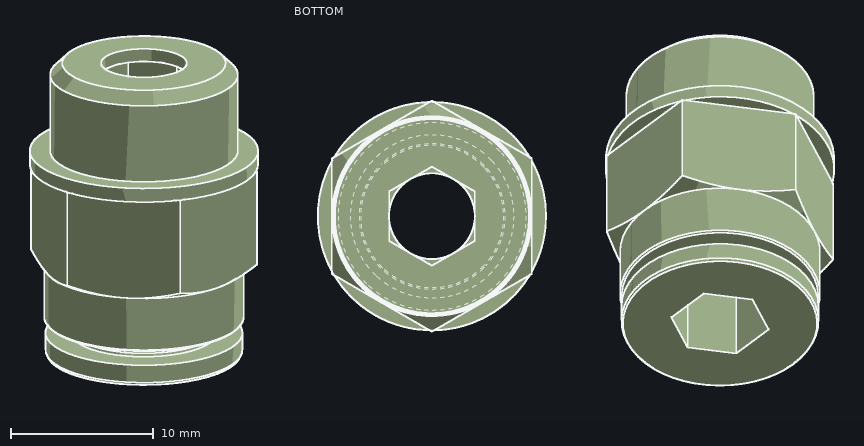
import cadquery as cq
import math

total_height = 21.5
flange_top = 15.0
flange_thickness = 1.0
hex_bottom = 6.5
body_bottom = 2.54
ring_top = 1.5

spigot_diameter = 13.15
flange_diameter = 16.0
hex_across_flats = 14.0
body_diameter = hex_across_flats
neck_diameter = 10.0
neck_foot_diameter = 10.21
ring_diameter = 13.8
bore_diameter = 6.0

spigot_chamfer = 0.85
body_chamfer = 0.13
ring_chamfer_height = 0.22
ring_chamfer_width = 0.1
neck_foot_height = 0.22
hex_chamfer_angle = 30.0
bore_lip_depth = 0.95

flange_bottom = flange_top - flange_thickness
hex_corner_factor = 1 / math.cos(math.radians(30))


def hex_prism(across_flats, bottom, top):
    """Vertical hexagonal prism with corners on +Y and -Y."""
    return (
        cq.Workplane("XY")
        .polygon(6, across_flats * hex_corner_factor)
        .extrude(top - bottom)
        .rotate((0, 0, 0), (0, 0, 1), 90)
        .translate((0, 0, bottom))
    )


def revolve_profile(points):
    """Solid of revolution about Z from (radius, height) points."""
    return (
        cq.Workplane("XZ")
        .polyline(points)
        .close()
        .revolve(360, (0, 0), (0, 1))
    )


def turned_body():
    """Release ring, neck, body, flange and chamfered spigot."""
    ring_radius = ring_diameter / 2
    neck_radius = neck_diameter / 2
    body_radius = body_diameter / 2
    flange_radius = flange_diameter / 2
    spigot_radius = spigot_diameter / 2
    return revolve_profile([
        (0, 0),
        (ring_radius - ring_chamfer_width, 0),
        (ring_radius, ring_chamfer_height),
        (ring_radius, ring_top),
        (neck_foot_diameter / 2, ring_top),
        (neck_radius, ring_top + neck_foot_height),
        (neck_radius, body_bottom),
        (body_radius - body_chamfer, body_bottom),
        (body_radius, body_bottom + body_chamfer),
        (body_radius, flange_bottom),
        (flange_radius, flange_bottom),
        (flange_radius, flange_top),
        (spigot_radius, flange_top),
        (spigot_radius, total_height - spigot_chamfer),
        (spigot_radius - spigot_chamfer, total_height),
        (0, total_height),
    ])


def wrench_hex():
    """Hexagon whose lower corners are cut back by a cone."""
    inner_radius = hex_across_flats / 2
    corner_radius = inner_radius * hex_corner_factor
    cone_rise = (corner_radius - inner_radius) * math.tan(math.radians(hex_chamfer_angle))
    envelope = revolve_profile([
        (0, hex_bottom),
        (inner_radius, hex_bottom),
        (corner_radius, hex_bottom + cone_rise),
        (corner_radius, flange_bottom),
        (0, flange_bottom),
    ])
    return hex_prism(hex_across_flats, hex_bottom, flange_bottom).intersect(envelope)


def through_bore():
    """Round mouth at the top leading into a hexagonal bore of the same width."""
    mouth = (
        cq.Workplane("XY")
        .circle(bore_diameter / 2)
        .extrude(total_height)
    )
    return mouth.union(hex_prism(bore_diameter, 0, total_height - bore_lip_depth))


result = turned_body().union(wrench_hex()).cut(through_bore())